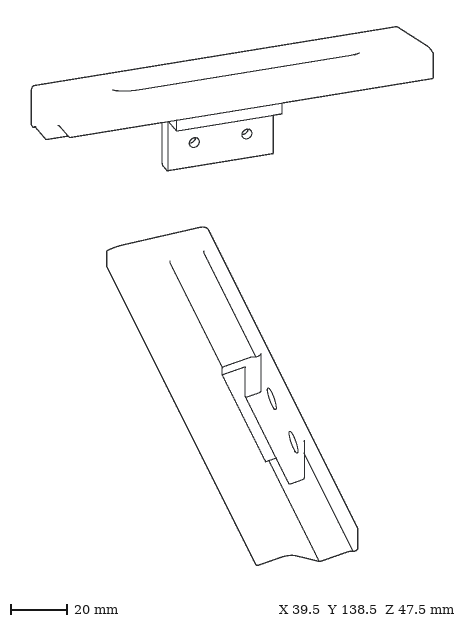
import cadquery as cq
import math

GRIP_LENGTH = 138.5
GRIP_DEPTH = 39.5
TOTAL_HEIGHT = 47.5
TOP_SLOPE = 11.6
CREST_X = 35.7
CREST_RADIUS = 14.0
UNDERSIDE_Z = 36.7
BASE_Z = 25.0
BASE_DEPTH = 15.0
LIP_DROP = 1.1
LIP_DEPTH = 2.0
LIP_BLEND_DEPTH = 2.4
END_RADIUS = 0.7
BACK_RADIUS = 0.8
LIP_RADIUS = 1.2
NOSE_RADIUS = 4.3
UNDERSIDE_RADIUS = 8.3

CENTER_Y = 0.7
BRACKET_WIDTH = 40.0
PLATE_THICKNESS = 6.1
SHELF_Z = 20.1
PLATE_EDGE_RADIUS = 1.0
BRACKET_OVERLAP = 1.4

HOLE_DIAMETER = 3.7
SINK_DIAMETER = 8.2
SINK_ANGLE = 90
HOLE_SPACING = 20.0
HOLE_Z = 9.8

GROOVE_X = 21.3
GROOVE_STRAIGHT = 80.0
GROOVE_RADIUS = 13.7
GROOVE_SINK = 2.6
GROOVE_RIM_RADIUS = 5.0

slope_tan = math.tan(math.radians(TOP_SLOPE))
crest_start_x = CREST_X - CREST_RADIUS * math.sin(math.radians(TOP_SLOPE))
crest_start_z = TOTAL_HEIGHT - CREST_RADIUS * (1 - math.cos(math.radians(TOP_SLOPE)))
back_top_z = TOTAL_HEIGHT - CREST_RADIUS + math.sqrt(CREST_RADIUS**2 - (GRIP_DEPTH - CREST_X)**2)
nose_z = crest_start_z - crest_start_x * slope_tan
lip_z = BASE_Z - LIP_DROP
ramp_top_x = BASE_DEPTH + UNDERSIDE_Z - BASE_Z


def round_edge(body, x, z, radius):
    """Round the lengthwise edge that passes through (x, z)."""
    return body.edges(cq.selectors.NearestToPointSelector((x, 0, z))).fillet(radius)


def make_grip():
    blend_end_x = LIP_DEPTH + LIP_BLEND_DEPTH
    blend_radius = (LIP_BLEND_DEPTH**2 + LIP_DROP**2) / (2 * LIP_DROP)
    half_turn = math.asin(LIP_BLEND_DEPTH / blend_radius) / 2
    blend_mid = (
        blend_end_x - blend_radius * math.sin(half_turn),
        BASE_Z - blend_radius * (1 - math.cos(half_turn)),
    )
    body = (
        cq.Workplane("XZ")
        .moveTo(0, lip_z)
        .lineTo(0, nose_z)
        .lineTo(crest_start_x, crest_start_z)
        .threePointArc((CREST_X, TOTAL_HEIGHT), (GRIP_DEPTH, back_top_z))
        .lineTo(GRIP_DEPTH, UNDERSIDE_Z)
        .lineTo(ramp_top_x, UNDERSIDE_Z)
        .lineTo(BASE_DEPTH, BASE_Z)
        .lineTo(blend_end_x, BASE_Z)
        .threePointArc(blend_mid, (LIP_DEPTH, lip_z))
        .close()
        .extrude(GRIP_LENGTH / 2, both=True)
    )
    body = round_edge(body, 0, nose_z, NOSE_RADIUS)
    body = round_edge(body, ramp_top_x, UNDERSIDE_Z, UNDERSIDE_RADIUS)
    body = round_edge(body, 0, lip_z, LIP_RADIUS)
    for z in (back_top_z, UNDERSIDE_Z):
        body = round_edge(body, GRIP_DEPTH, z, BACK_RADIUS)
    return body.faces("<Y or >Y").edges().fillet(END_RADIUS)


def cut_groove(body):
    groove_z = nose_z + GROOVE_X * slope_tan
    lift = GROOVE_RADIUS - GROOVE_SINK
    capsule = (
        cq.Workplane("XZ")
        .circle(GROOVE_RADIUS)
        .extrude(GROOVE_STRAIGHT / 2, both=True)
    )
    for end in (-1, 1):
        ball = cq.Workplane("XY").sphere(GROOVE_RADIUS)
        capsule = capsule.union(ball.translate((0, end * GROOVE_STRAIGHT / 2, 0)))
    capsule = (
        capsule.translate((0, 0, lift))
        .rotate((0, 0, 0), (0, 1, 0), -TOP_SLOPE)
        .translate((GROOVE_X, CENTER_Y, groove_z))
    )
    grooved = body.cut(capsule)
    rim_half_width = math.sqrt(GROOVE_RADIUS**2 - lift**2)
    rim_x = GROOVE_X - rim_half_width * math.cos(math.radians(TOP_SLOPE))
    rim_z = groove_z - rim_half_width * math.sin(math.radians(TOP_SLOPE))
    rim = cq.selectors.NearestToPointSelector((rim_x, CENTER_Y, rim_z))
    return grooved.edges(rim).fillet(GROOVE_RIM_RADIUS)


def make_bracket():
    body = (
        cq.Workplane("XZ", origin=(0, CENTER_Y, 0))
        .polyline([
            (0, 0),
            (PLATE_THICKNESS, 0),
            (PLATE_THICKNESS, SHELF_Z),
            (BASE_DEPTH, SHELF_Z),
            (BASE_DEPTH, BASE_Z),
            (0, BASE_Z + BRACKET_OVERLAP),
        ])
        .close()
        .extrude(BRACKET_WIDTH / 2, both=True)
    )
    return body.faces("<Z").edges("|Y").fillet(PLATE_EDGE_RADIUS)


def drill_screw_holes(body):
    return (
        body.faces("<X").workplane(origin=(0, CENTER_Y, HOLE_Z))
        .rarray(HOLE_SPACING, 1.4, 2, 1)
        .cskHole(HOLE_DIAMETER, SINK_DIAMETER, SINK_ANGLE, PLATE_THICKNESS)
    )


result = drill_screw_holes(cut_groove(make_grip()).union(make_bracket()))